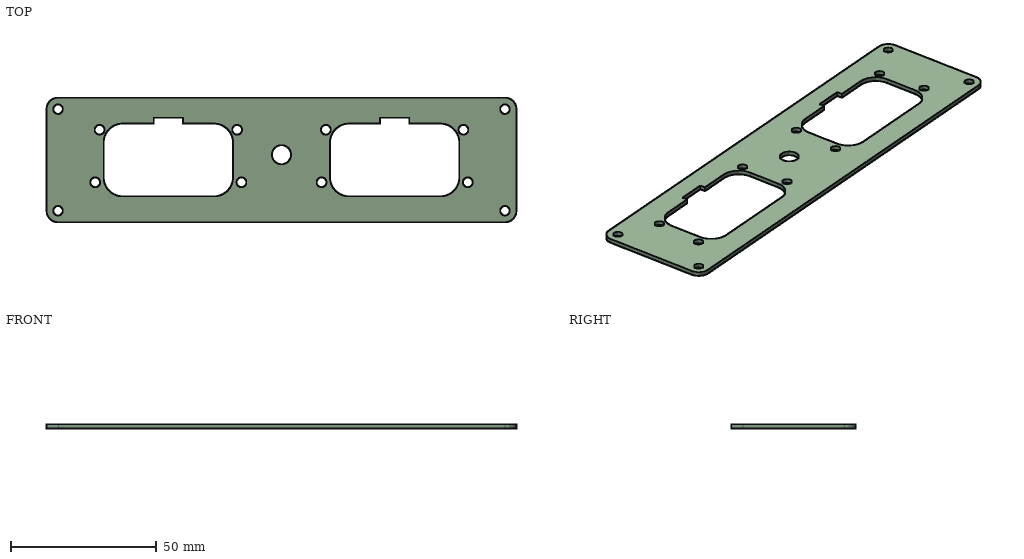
import cadquery as cq

PLATE_LENGTH = 162.0
PLATE_WIDTH = 43.0
PLATE_THICKNESS = 1.58
PLATE_CORNER_RADIUS = 4.0

MOUNT_HOLE_DIAMETER = 3.2
MOUNT_HOLE_INSET = PLATE_CORNER_RADIUS

CENTRE_HOLE_DIAMETER = 6.5
CENTRE_HOLE_Y = 1.8

WINDOW_PITCH = 78.0
WINDOW_LENGTH = 44.5
WINDOW_WIDTH = 25.0
WINDOW_CORNER_RADIUS = 6.5
WINDOW_Y = 0.0

NOTCH_LENGTH = 10.0
NOTCH_DEPTH = 2.0

SCREW_HOLE_DIAMETER = 3.3
UPPER_SCREW_SPACING = 47.4
UPPER_SCREW_Y = 10.4
LOWER_SCREW_SPACING = 50.4
LOWER_SCREW_Y = -7.7


def make_plate():
    """Flat plate with rounded corners, its underside on Z = 0."""
    plate = cq.Workplane("XY").box(
        PLATE_LENGTH, PLATE_WIDTH, PLATE_THICKNESS, centered=(True, True, False)
    )
    return plate.edges("|Z").fillet(PLATE_CORNER_RADIUS)


def make_holes(diameter, centres):
    """Cylinders that cut through the full plate thickness."""
    return cq.Workplane("XY").pushPoints(centres).circle(diameter / 2).extrude(PLATE_THICKNESS)


def make_mount_holes():
    """One hole in each plate corner."""
    x = PLATE_LENGTH / 2 - MOUNT_HOLE_INSET
    y = PLATE_WIDTH / 2 - MOUNT_HOLE_INSET
    return make_holes(MOUNT_HOLE_DIAMETER, [(-x, -y), (x, -y), (-x, y), (x, y)])


def make_window(centre_x):
    """Rounded rectangular opening with a notch in its upper edge."""
    opening = (
        cq.Workplane("XY")
        .center(centre_x, WINDOW_Y)
        .rect(WINDOW_LENGTH, WINDOW_WIDTH)
        .extrude(PLATE_THICKNESS)
        .edges("|Z")
        .fillet(WINDOW_CORNER_RADIUS)
    )
    notch_reach = WINDOW_WIDTH / 2 + NOTCH_DEPTH
    notch = (
        cq.Workplane("XY")
        .center(centre_x, WINDOW_Y + notch_reach / 2)
        .rect(NOTCH_LENGTH, notch_reach)
        .extrude(PLATE_THICKNESS)
    )
    return opening.union(notch)


def make_screw_holes(centre_x):
    """Upper and lower pair of holes beside a window."""
    centres = []
    for spacing, y in (
        (UPPER_SCREW_SPACING, UPPER_SCREW_Y),
        (LOWER_SCREW_SPACING, LOWER_SCREW_Y),
    ):
        centres.append((centre_x - spacing / 2, y))
        centres.append((centre_x + spacing / 2, y))
    return make_holes(SCREW_HOLE_DIAMETER, centres)


result = make_plate()
result = result.cut(make_mount_holes())
result = result.cut(make_holes(CENTRE_HOLE_DIAMETER, [(0, CENTRE_HOLE_Y)]))
for window_x in (-WINDOW_PITCH / 2, WINDOW_PITCH / 2):
    result = result.cut(make_window(window_x))
    result = result.cut(make_screw_holes(window_x))